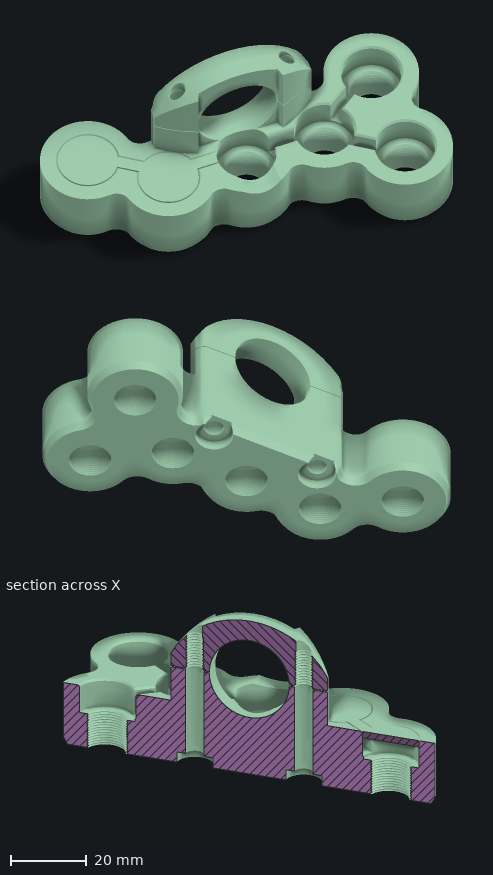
import cadquery as cq
import math

lobe_radius = 12.6
base_length = 105.3
base_height = 18.0
web_radius = 4.0
bottom_chamfer_rise = 2.0
bottom_chamfer_run = 1.2

bore_diameter = 16.0
bore_floor = 10.0
channel_floor = 10.7
port_minor_diameter = 11.3
port_major_diameter = 12.1
port_pitch = 0.75
rim_chamfer = 0.5
channel_width = 3.2
channel_shift = 1.5
channel_round = 2.0

plate_back = -14.7
plate_front = -6.3
horn_front = -4.2
horn_half_gap = 11.9
recess_half_width = 11.2
plate_half_width = 22.1
plate_end_front = -10.0
front_bow_radius = 36.9
corner_y = 19.4
corner_radius = 2.0
ring_diameter = 22.4
ring_height = 27.9
split_gap = 0.2
crown_top = 45.0
crown_radius = 25.3

screw_x = -10.7
screw_y = 15.4
screw_clearance_diameter = 5.2
screw_minor_diameter = 4.2
screw_major_diameter = 5.1
screw_pitch = 0.8
screw_thread_top = 37.9
screw_head_diameter = 10.0
screw_head_depth = 3.0

lid_thickness = 2.0

end_y = base_length / 2 - lobe_radius
lobe_pitch = (end_y**2 + lobe_radius**2) / (2 * end_y)
middle = (0, 0)
upper = (0, lobe_pitch)
lower = (0, -lobe_pitch)
upper_left = (-lobe_radius, end_y)
upper_right = (lobe_radius, end_y)
lower_left = (-lobe_radius, -end_y)
bores = [middle, upper, lower, upper_left, upper_right, lower_left]

split_bottom = ring_height - split_gap / 2
split_top = ring_height + split_gap / 2


def blend_center(first, first_radius, second, second_radius):
    """Centre to the left of first->second, at the given distances from both."""
    dx, dy = second[0] - first[0], second[1] - first[1]
    span = math.hypot(dx, dy)
    along = (span**2 + first_radius**2 - second_radius**2) / (2 * span)
    side = math.sqrt(first_radius**2 - along**2)
    return (first[0] + (along * dx - side * dy) / span, first[1] + (along * dy + side * dx) / span)


def web(first, second):
    """Concave blend circle between two lobes, on the left of first->second."""
    reach = lobe_radius + web_radius
    return blend_center(first, reach, second, reach)


def tangent_point(first, first_radius, second, second_radius):
    share = first_radius / (first_radius + second_radius)
    return (first[0] + share * (second[0] - first[0]), first[1] + share * (second[1] - first[1]))


def arc_middle(center, radius, start, end, turn):
    """Middle of an arc that turns counterclockwise (1) or clockwise (-1)."""
    start_angle = math.atan2(start[1] - center[1], start[0] - center[0])
    end_angle = math.atan2(end[1] - center[1], end[0] - center[0])
    angle = start_angle + turn * (turn * (end_angle - start_angle) % (2 * math.pi)) / 2
    return (center[0] + radius * math.cos(angle), center[1] + radius * math.sin(angle))


def base_outline():
    """Counterclockwise chain of tangent arcs, closed by the plate's flat back."""
    corner_x = plate_back + corner_radius
    blend_reach = lobe_radius + corner_radius
    upper_corner = (corner_x, corner_y)
    lower_corner = (corner_x, -corner_y)
    upper_blend = blend_center(upper_corner, 2 * corner_radius, upper, blend_reach)
    lower_blend = (upper_blend[0], -upper_blend[1])
    chain = [
        (lower_corner, corner_radius, 1),
        (lower_blend, corner_radius, -1),
        (lower, lobe_radius, 1),
        (web(lower_left, lower), web_radius, -1),
        (lower_left, lobe_radius, 1),
        (web(lower, lower_left), web_radius, -1),
        (lower, lobe_radius, 1),
        (web(middle, lower), web_radius, -1),
        (middle, lobe_radius, 1),
        (web(upper, middle), web_radius, -1),
        (upper, lobe_radius, 1),
        (web(upper_right, upper), web_radius, -1),
        (upper_right, lobe_radius, 1),
        (web(upper_left, upper_right), web_radius, -1),
        (upper_left, lobe_radius, 1),
        (web(upper, upper_left), web_radius, -1),
        (upper, lobe_radius, 1),
        (upper_blend, corner_radius, -1),
        (upper_corner, corner_radius, 1),
    ]
    start = (plate_back, -corner_y)
    outline = cq.Workplane("XY").moveTo(*start)
    for index, (center, radius, turn) in enumerate(chain):
        if index + 1 < len(chain):
            end = tangent_point(center, radius, chain[index + 1][0], chain[index + 1][1])
        else:
            end = (plate_back, corner_y)
        outline = outline.threePointArc(arc_middle(center, radius, start, end, turn), end)
        start = end
    return outline.close()


def cylinder(center, diameter, bottom, top):
    return cq.Workplane("XY", origin=(*center, bottom)).circle(diameter / 2).extrude(top - bottom)


def cone(center, bottom_diameter, top_diameter, bottom, top):
    return (
        cq.Workplane("XY", origin=(*center, bottom))
        .circle(bottom_diameter / 2)
        .workplane(offset=top - bottom)
        .circle(top_diameter / 2)
        .loft()
    )


def across(first, second):
    """Upright plane at the first centre, facing the second, local x to the left."""
    dx, dy = second[0] - first[0], second[1] - first[1]
    return cq.Workplane(cq.Plane((*first, 0), (-dy, dx, 0), (dx, dy, 0)))


def chamfered_channel(first, second, shift):
    half = channel_width / 2
    flare = half + rim_chamfer
    chamfer_start = base_height - rim_chamfer
    return (
        across(first, second)
        .moveTo(shift - half, channel_floor)
        .lineTo(shift + half, channel_floor)
        .lineTo(shift + half, chamfer_start)
        .lineTo(shift + flare, base_height)
        .lineTo(shift - flare, base_height)
        .lineTo(shift - half, chamfer_start)
        .close()
        .extrude(math.dist(first, second))
    )


def rounded_channel(first, second, shift):
    half = channel_width / 2
    flare = half + channel_round
    round_start = base_height - channel_round
    return (
        across(first, second)
        .moveTo(shift - half, channel_floor)
        .lineTo(shift + half, channel_floor)
        .lineTo(shift + half, round_start)
        .radiusArc((shift + flare, base_height), channel_round)
        .lineTo(shift - flare, base_height)
        .radiusArc((shift - half, round_start), channel_round)
        .close()
        .extrude(math.dist(first, second))
    )


def threaded_hole(center, minor_diameter, major_diameter, pitch, bottom, top):
    """Hole with ring grooves that stand for its thread, the first groove at the top."""
    turns = math.floor((top - bottom) / pitch)
    profile = cq.Workplane("XZ").moveTo(0, top).lineTo(major_diameter / 2, top)
    for turn in range(turns):
        root_height = top - turn * pitch
        profile = profile.lineTo(minor_diameter / 2, root_height - pitch / 2)
        profile = profile.lineTo(major_diameter / 2, root_height - pitch)
    profile = profile.lineTo(minor_diameter / 2, bottom).lineTo(0, bottom).close()
    return profile.revolve(360, (0, 0, 0), (0, 1, 0)).translate((*center, 0))


def port_and_bore(center):
    """Bore with a threaded port through its floor."""
    bore = cylinder(center, bore_diameter, bore_floor, base_height)
    port = threaded_hole(center, port_minor_diameter, port_major_diameter, port_pitch, 0, bore_floor)
    return bore.union(port)


def bore_rim(center):
    return cone(center, bore_diameter, bore_diameter + 2 * rim_chamfer, base_height - rim_chamfer, base_height)


def plate_outline():
    """Plan of the plate: square back, end faces, bowed flanks and the recess around the ring."""
    end = (plate_end_front, plate_half_width)
    horn = (horn_front, horn_half_gap)
    return (
        cq.Workplane("XY")
        .moveTo(plate_back, -plate_half_width)
        .lineTo(end[0], -end[1])
        .radiusArc((horn[0], -horn[1]), -front_bow_radius)
        .lineTo(plate_front, -recess_half_width)
        .lineTo(plate_front, recess_half_width)
        .lineTo(*horn)
        .radiusArc(end, -front_bow_radius)
        .lineTo(plate_back, plate_half_width)
        .close()
    )


def ring_plate(bottom, top):
    """Slice of the upright plate; its back corners follow the base outline."""
    plate = plate_outline().extrude(top - bottom)
    return plate.intersect(base_outline().extrude(top - bottom)).translate((0, 0, bottom))


def along_x(diameter, height):
    """Cylinder through the whole part, parallel to X, centred at the given height."""
    reach = 2 * base_length
    return cq.Workplane("YZ", origin=(-reach / 2, 0, height)).circle(diameter / 2).extrude(reach)


ring_hole = along_x(ring_diameter, ring_height)


def make_base():
    body = base_outline().extrude(base_height)
    body = body.faces("<Z").chamfer(bottom_chamfer_rise, bottom_chamfer_run)
    body = body.union(ring_plate(base_height, split_bottom))
    for center in bores:
        body = body.cut(port_and_bore(center))
        if center != middle:
            body = body.cut(bore_rim(center))
    body = body.cut(chamfered_channel(upper, upper_left, channel_shift))
    body = body.cut(chamfered_channel(upper, upper_right, -channel_shift))
    body = body.cut(chamfered_channel(lower, lower_left, -channel_shift))
    body = body.cut(chamfered_channel(middle, lower, -channel_shift))
    body = body.cut(rounded_channel(middle, upper, channel_shift))
    body = body.cut(ring_hole)
    for side in (-1, 1):
        center = (screw_x, side * screw_y)
        body = body.cut(cylinder(center, screw_clearance_diameter, 0, split_bottom))
        body = body.cut(cylinder(center, screw_head_diameter, 0, screw_head_depth))
    return body


def make_cap():
    body = ring_plate(split_top, crown_top)
    body = body.intersect(along_x(2 * crown_radius, crown_top - crown_radius))
    body = body.cut(ring_hole)
    for side in (-1, 1):
        center = (screw_x, side * screw_y)
        thread = threaded_hole(
            center, screw_minor_diameter, screw_major_diameter, screw_pitch, split_top, screw_thread_top
        )
        body = body.cut(thread)
        body = body.cut(cylinder(center, screw_minor_diameter, screw_thread_top, crown_top))
    return body


def lid_bar(first, second, shift):
    lid_middle = base_height - lid_thickness / 2
    bar = across(first, second).center(shift, lid_middle).rect(channel_width, lid_thickness)
    return bar.extrude(math.dist(first, second))


def make_lid():
    """Flush cover over the two lower bores and the channels that lead to them."""
    lid_bottom = base_height - lid_thickness
    body = cylinder(lower, bore_diameter, lid_bottom, base_height)
    body = body.union(cylinder(lower_left, bore_diameter, lid_bottom, base_height))
    body = body.union(lid_bar(lower, lower_left, -channel_shift))
    inlet = lid_bar(middle, lower, -channel_shift)
    inlet = inlet.cut(cylinder(middle, bore_diameter, lid_bottom, base_height))
    return body.union(inlet)


base = make_base()
cap = make_cap()
lid = make_lid()

result = cq.Compound.makeCompound([base.val(), cap.val(), lid.val()])